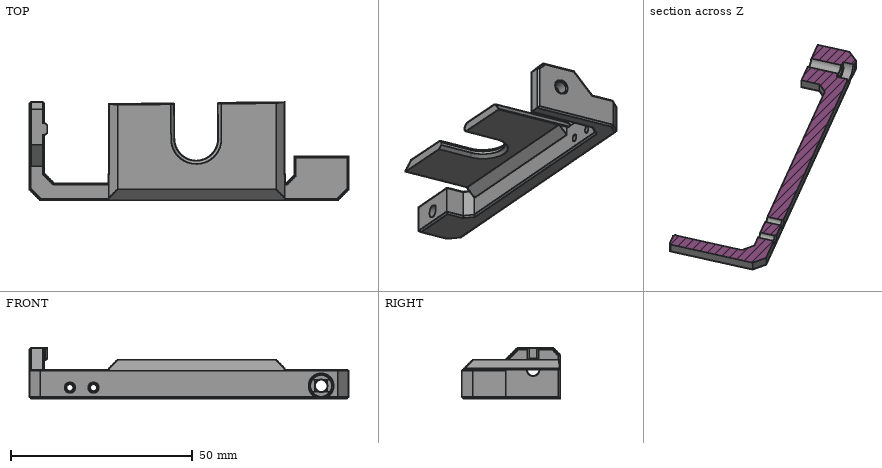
import cadquery as cq
LENGTH = 88.0
DEPTH = 27.2
HEIGHT = 14.0
EDGE = 0.5
TOP_EDGE = 0.4

BAR_HEIGHT = 8.0
BAR_DEPTH = 4.7
ARM_THICKNESS = 4.1
OUTER_CORNER = 3.0
INNER_CORNER = 2.7
BLOCK_LEFT = 73.0
BLOCK_DEPTH = 12.2
BLOCK_CORNER = 2.2

ARM_SLOPE_TOP = 15.4
ARM_BACK_CORNER = 2.0

PLATE_LEFT = 21.9
PLATE_RIGHT = 70.4
PLATE_SIDE_WALL = 0.3
PLATE_FRONT = TOP_EDGE
PLATE_BACK = 26.9
PLATE_BACK_LEAN = 0.33
PLATE_THICKNESS = 2.7
PLATE_TOP = BAR_HEIGHT + PLATE_THICKNESS
GUSSET = 2.5
GUSSET_MARGIN = 0.2

SLOT_X = 46.0
SLOT_Y = 17.0
SLOT_RADIUS = 6.0
SLOT_CHAMFER = 0.95
BACK_TURN = 0.6

ARM_HOLE_DIAMETER = 3.4
ARM_HOLE_Y = 19.7
ARM_HOLE_Z = 7.95
ARM_HOLE_CHAMFER = 0.35
RIB_WIDTH = 3.2
RIB_HEIGHT = 0.85
RIB_BOTTOM = 10.5
RIB_CHAMFER = 0.6

PILOT_DIAMETER = 1.9
PILOT_XS = (11.15, 17.65)
PILOT_Z = 3.0
PILOT_CHAMFER = 0.5

SCREW_X = 80.45
SCREW_Z = 3.5
SCREW_DIAMETER = 3.4
SCREW_HEAD_DIAMETER = 6.0
SCREW_HEAD_DEPTH = 3.0
SCREW_HEAD_CHAMFER = 0.45
BRIDGE_STEP = 0.3


def make_base():
    """Bar, arm foot and right block at bar height, with broken outline edges."""
    outline = [
        (OUTER_CORNER, 0),
        (LENGTH - OUTER_CORNER, 0),
        (LENGTH, OUTER_CORNER),
        (LENGTH, BLOCK_DEPTH),
        (BLOCK_LEFT, BLOCK_DEPTH),
        (BLOCK_LEFT, BAR_DEPTH + BLOCK_CORNER),
        (BLOCK_LEFT - BLOCK_CORNER, BAR_DEPTH),
        (ARM_THICKNESS + INNER_CORNER, BAR_DEPTH),
        (ARM_THICKNESS, BAR_DEPTH + INNER_CORNER),
        (ARM_THICKNESS, DEPTH),
        (0, DEPTH),
        (0, OUTER_CORNER),
    ]
    base = cq.Workplane("XY").polyline(outline).close().extrude(BAR_HEIGHT)
    base = base.edges("|Z and >Y").chamfer(EDGE)
    base = base.faces("<Z").edges().chamfer(EDGE)
    return base.faces(">Z").edges().chamfer(TOP_EDGE)


def make_arm():
    """Upright left arm with broken edges on both of its broad faces."""
    front = BAR_DEPTH + INNER_CORNER
    profile = [
        (front, 0),
        (DEPTH, 0),
        (DEPTH, HEIGHT - ARM_BACK_CORNER),
        (DEPTH - ARM_BACK_CORNER, HEIGHT),
        (ARM_SLOPE_TOP, HEIGHT),
        (ARM_SLOPE_TOP - (HEIGHT - BAR_HEIGHT), BAR_HEIGHT),
        (front, BAR_HEIGHT),
    ]
    arm = cq.Workplane("YZ").polyline(profile).close().extrude(ARM_THICKNESS)
    return arm.faces("<X or >X").edges("not <Y").chamfer(EDGE)


def make_arm_rib():
    """Short upright rib above the arm hole, tapered at its sides and lower end."""
    rib = (
        cq.Workplane("XY", origin=(ARM_THICKNESS - EDGE, ARM_HOLE_Y, RIB_BOTTOM))
        .rect(2 * (RIB_HEIGHT + EDGE), RIB_WIDTH)
        .extrude(HEIGHT - RIB_BOTTOM)
    )
    return rib.faces(">X").edges("not >Z").chamfer(RIB_CHAMFER)


def turned(shape):
    """Turn a shape about the vertical and place it at the slot centre."""
    return shape.rotate((0, 0, 0), (0, 0, 1), BACK_TURN).translate((SLOT_X, SLOT_Y, 0))


def make_plate():
    """Raised plate with sloped front and sides, overhanging behind the bar."""
    slope = PLATE_THICKNESS - PLATE_SIDE_WALL
    front_outline = [
        (PLATE_LEFT, BAR_HEIGHT),
        (PLATE_LEFT, BAR_HEIGHT + PLATE_SIDE_WALL),
        (PLATE_LEFT + slope, PLATE_TOP),
        (PLATE_RIGHT - slope, PLATE_TOP),
        (PLATE_RIGHT, BAR_HEIGHT + PLATE_SIDE_WALL),
        (PLATE_RIGHT, BAR_HEIGHT),
    ]
    side_outline = [
        (PLATE_FRONT, BAR_HEIGHT),
        (PLATE_FRONT + PLATE_THICKNESS, PLATE_TOP),
        (2 * DEPTH, PLATE_TOP),
        (2 * DEPTH, BAR_HEIGHT),
    ]
    back_reach = PLATE_BACK - SLOT_Y
    back_outline = [
        (-DEPTH, BAR_HEIGHT),
        (-DEPTH, PLATE_TOP),
        (back_reach - PLATE_BACK_LEAN, PLATE_TOP),
        (back_reach, BAR_HEIGHT),
    ]
    across = cq.Workplane("XZ").polyline(front_outline).close().extrude(-LENGTH)
    along = cq.Workplane("YZ").polyline(side_outline).close().extrude(LENGTH)
    back = cq.Workplane("YZ").polyline(back_outline).close().extrude(LENGTH, both=True)
    return across.intersect(along).intersect(turned(back))


def make_gusset():
    """Sloped support under the plate, along the back of the bar."""
    section = [
        (EDGE, BAR_HEIGHT - GUSSET),
        (BAR_DEPTH, BAR_HEIGHT - GUSSET),
        (BAR_DEPTH + GUSSET, BAR_HEIGHT),
        (EDGE, BAR_HEIGHT),
    ]
    left = PLATE_LEFT - GUSSET_MARGIN
    right = PLATE_RIGHT + GUSSET_MARGIN
    return cq.Workplane("YZ", origin=(left, 0, 0)).polyline(section).close().extrude(right - left)


def slot_layer(bottom_radius, bottom, top_radius, top):
    """U-shaped layer, open at the back, whose radius changes evenly with height."""
    height = top - bottom
    cone = cq.Solid.makeCone(bottom_radius, top_radius, height, cq.Vector(0, 0, bottom))
    section = [
        (-bottom_radius, bottom),
        (bottom_radius, bottom),
        (top_radius, top),
        (-top_radius, top),
    ]
    channel = cq.Workplane("XZ").polyline(section).close().extrude(-DEPTH)
    return channel.union(cq.Workplane(cone))


def make_slot():
    """Slot cutter with a chamfer along both its upper and lower rims."""
    wide = SLOT_RADIUS + SLOT_CHAMFER
    lower = BAR_HEIGHT + SLOT_CHAMFER
    upper = PLATE_TOP - SLOT_CHAMFER
    middle = cq.Workplane("XY", origin=(0, 0, lower)).circle(SLOT_RADIUS).extrude(upper - lower)
    middle = middle.union(
        cq.Workplane("XY", origin=(-SLOT_RADIUS, 0, lower))
        .box(2 * SLOT_RADIUS, DEPTH, upper - lower, centered=False)
    )
    lower_rim = slot_layer(wide, BAR_HEIGHT, SLOT_RADIUS, lower)
    upper_rim = slot_layer(SLOT_RADIUS, upper, wide, PLATE_TOP)
    return turned(middle.union(lower_rim).union(upper_rim))


def countersunk_drill(diameter, length, chamfer):
    """Drill along +Z from the origin, widened to a cone at its mouth."""
    radius = diameter / 2
    section = [
        (0, 0),
        (radius + chamfer, 0),
        (radius, chamfer),
        (radius, length),
        (0, length),
    ]
    return cq.Workplane("XZ").polyline(section).close().revolve(360, (0, 0, 0), (0, 1, 0))


def drilled_from_front(cutter, x, z):
    """Turn a drill to point back from the front face at the given place."""
    return cutter.rotate((0, 0, 0), (1, 0, 0), -90).translate((x, 0, z))


def make_arm_hole():
    """Countersunk hole through the arm from its outer face."""
    drill = countersunk_drill(ARM_HOLE_DIAMETER, ARM_THICKNESS + RIB_HEIGHT, ARM_HOLE_CHAMFER)
    return drill.rotate((0, 0, 0), (0, 1, 0), 90).translate((0, ARM_HOLE_Y, ARM_HOLE_Z))


def make_pilot_hole(x):
    """Small countersunk hole through the bar from its front face."""
    drill = countersunk_drill(PILOT_DIAMETER, BAR_DEPTH, PILOT_CHAMFER)
    return drilled_from_front(drill, x, PILOT_Z)


def make_screw_hole():
    """Head bore stepping to a flat-sided slot, a square, then a round through hole."""
    square_start = SCREW_HEAD_DEPTH + BRIDGE_STEP
    square_end = square_start + BRIDGE_STEP
    head = countersunk_drill(SCREW_HEAD_DIAMETER, SCREW_HEAD_DEPTH, SCREW_HEAD_CHAMFER)
    disc = (
        cq.Workplane("XY", origin=(0, 0, SCREW_HEAD_DEPTH))
        .circle(SCREW_HEAD_DIAMETER / 2)
        .extrude(BRIDGE_STEP)
    )
    band = cq.Workplane("XY").rect(SCREW_HEAD_DIAMETER, SCREW_DIAMETER).extrude(BLOCK_DEPTH)
    square = (
        cq.Workplane("XY", origin=(0, 0, square_start))
        .rect(SCREW_DIAMETER, SCREW_DIAMETER)
        .extrude(BRIDGE_STEP)
    )
    shank = (
        cq.Workplane("XY", origin=(0, 0, square_end))
        .circle(SCREW_DIAMETER / 2)
        .extrude(BLOCK_DEPTH - square_end)
    )
    hole = head.union(disc.intersect(band)).union(square).union(shank)
    return drilled_from_front(hole, SCREW_X, SCREW_Z)


frame = make_base().union(make_arm()).union(make_arm_rib())
plate = make_plate().cut(make_slot())
result = frame.union(make_gusset()).union(plate)
result = result.cut(make_arm_hole()).cut(make_screw_hole())
for pilot_x in PILOT_XS:
    result = result.cut(make_pilot_hole(pilot_x))